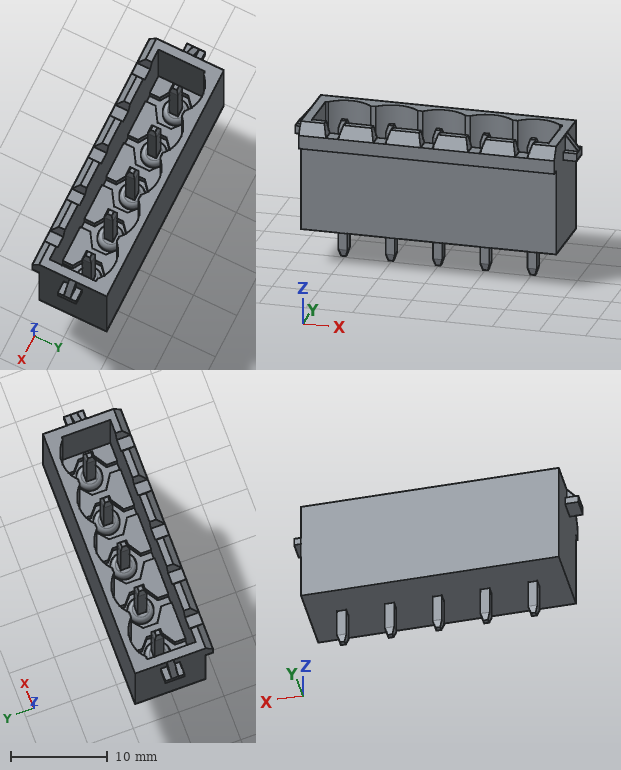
import cadquery as cq


pin_count = 5
pitch = 5.07
pin_width = 1.0
pin_tip_width = 0.5
pin_tip_length = 0.82
pin_tail = 4.02
pin_top_setback = 1.0

total_width = 30.2
housing_width = 27.4
housing_height = 12.0
back_y = 3.8
front_y = -4.0
mid_y = (back_y + front_y) / 2

lip_depth = 0.82
lip_height = 2.75
lip_chamfer_height = 1.3
lip_front_y = front_y - lip_depth

side_wall = 1.0
cavity_front_y = -3.25
cavity_back_y = 2.08
scallop_back_y = 3.02
scallop_half_width = 2.25
cavity_depth = 9.0
floor_z = housing_height - cavity_depth

recess_depth = 1.0
recess_half_width = 2.02
recess_side_back_y = 0.45
recess_side_front_y = -1.1
back_channel_half_width = 1.0
back_channel_start_y = 1.33
front_channel_half_width = 0.48
front_channel_start_y = -2.08
recess_z = floor_z - recess_depth

collar_diameter = 2.75
collar_top_diameter = 1.75
collar_fillet = (collar_diameter - collar_top_diameter) / 2

notch_top_width = 2.05
notch_bottom_width = 1.27

tab_width = 2.1
tab_reach = (total_width - housing_width) / 2
tab_top_setback = 1.72
tab_thickness = 0.85
rib_width = 0.75

pin_xs = [(i - (pin_count - 1) / 2) * pitch for i in range(pin_count)]
pin_top_z = housing_height - pin_top_setback


def make_block():
    """Housing block with the chamfered lip, as a side profile run along X."""
    lip_bottom_z = housing_height - lip_height
    chamfer_z = housing_height - lip_chamfer_height
    profile = [
        (back_y, 0),
        (back_y, housing_height),
        (front_y, housing_height),
        (lip_front_y, chamfer_z),
        (lip_front_y, lip_bottom_z),
        (front_y, lip_bottom_z),
        (front_y, 0),
    ]
    return cq.Workplane("YZ").polyline(profile).close().extrude(housing_width / 2, both=True)


def make_cavity():
    """Volume of the cavity above its floor."""
    half_width = housing_width / 2 - side_wall
    outline = (
        cq.Workplane("XY", origin=(0, 0, floor_z))
        .moveTo(half_width, cavity_front_y)
        .lineTo(-half_width, cavity_front_y)
        .lineTo(-half_width, cavity_back_y)
    )
    for x in pin_xs:
        outline = outline.lineTo(x - scallop_half_width, cavity_back_y)
        outline = outline.threePointArc((x, scallop_back_y), (x + scallop_half_width, cavity_back_y))
    return outline.lineTo(half_width, cavity_back_y).close().extrude(cavity_depth)


def make_recess(x, cavity):
    """Floor recess around one pin, with channels to the front and back walls."""
    right_side = [
        (back_channel_half_width, scallop_back_y),
        (back_channel_half_width, back_channel_start_y),
        (recess_half_width, recess_side_back_y),
        (recess_half_width, recess_side_front_y),
        (front_channel_half_width, front_channel_start_y),
        (front_channel_half_width, cavity_front_y),
    ]
    left_side = [(-px, py) for px, py in reversed(right_side)]
    outline = cq.Workplane("XY", origin=(x, 0, recess_z)).polyline(right_side + left_side).close()
    below_cavity = cavity.translate((0, 0, -recess_depth))
    return outline.extrude(recess_depth).intersect(below_cavity)


def make_collar(x):
    """Collar around one pin with a rounded top edge."""
    return (
        cq.Workplane("XY", origin=(x, 0, recess_z))
        .circle(collar_diameter / 2)
        .extrude(recess_depth)
        .faces(">Z")
        .edges()
        .fillet(collar_fillet)
    )


def make_notch(x):
    """Tapered notch through the front wall at one pin."""
    notch_z = housing_height - lip_chamfer_height
    profile = [
        (-notch_bottom_width / 2, notch_z),
        (notch_bottom_width / 2, notch_z),
        (notch_top_width / 2, housing_height),
        (-notch_top_width / 2, housing_height),
    ]
    wall_depth = cavity_front_y - lip_front_y
    return cq.Workplane("XZ", origin=(x, cavity_front_y, 0)).polyline(profile).close().extrude(wall_depth)


def make_left_tab():
    """Bar and rib on the -X side."""
    wall_x = -housing_width / 2
    bar_top_z = housing_height - tab_top_setback
    bar = cq.Workplane("XY", origin=(wall_x - tab_reach / 2, mid_y, bar_top_z - tab_thickness / 2)).box(
        tab_reach, tab_width, tab_thickness
    )
    rib_profile = [
        (wall_x, housing_height),
        (wall_x - tab_reach, bar_top_z),
        (wall_x, bar_top_z),
    ]
    rib = (
        cq.Workplane("XZ", origin=(0, mid_y, 0))
        .polyline(rib_profile)
        .close()
        .extrude(rib_width / 2, both=True)
    )
    return bar.union(rib)


def make_pin(x):
    """Square pin with a tapered tip at each end."""
    bottom_z = -pin_tail
    shaft_bottom_z = bottom_z + pin_tip_length
    shaft_top_z = pin_top_z - pin_tip_length
    shaft = (
        cq.Workplane("XY", origin=(x, 0, shaft_bottom_z))
        .rect(pin_width, pin_width)
        .extrude(shaft_top_z - shaft_bottom_z)
    )
    for shaft_end_z, direction in ((shaft_bottom_z, -1), (shaft_top_z, 1)):
        tip = (
            cq.Workplane("XY", origin=(x, 0, shaft_end_z))
            .rect(pin_width, pin_width)
            .workplane(offset=direction * pin_tip_length)
            .rect(pin_tip_width, pin_tip_width)
            .loft(ruled=True)
        )
        shaft = shaft.union(tip)
    return shaft


def make_housing(pins):
    """Housing with its cavity, notches and tabs, and a fitting hole for each pin."""
    cavity = make_cavity()
    body = make_block().cut(cavity)
    for x in pin_xs:
        body = body.cut(make_recess(x, cavity)).union(make_collar(x)).cut(make_notch(x))
    for pin in pins:
        body = body.cut(pin)
    left_tab = make_left_tab()
    return body.union(left_tab).union(left_tab.mirror("YZ"))


pins = [make_pin(x) for x in pin_xs]
housing = make_housing(pins)

result = cq.Compound.makeCompound([housing.solids().val(), *[pin.solids().val() for pin in pins]])